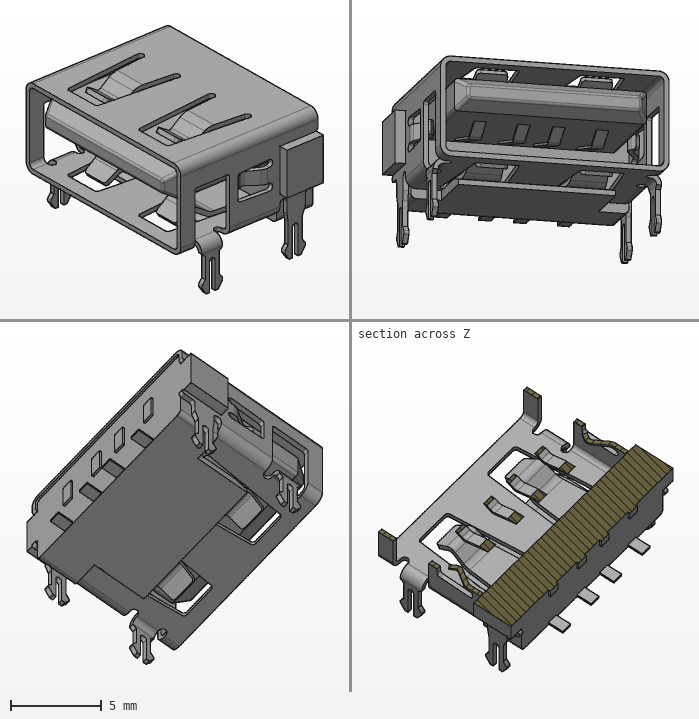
import cadquery as cq
import math


SHEET = 0.3
SHELL_WIDTH = 13.1
SHELL_HEIGHT = 5.72
SHELL_DEPTH = 10.01
INNER_BEND = SHEET
OUTER_BEND = INNER_BEND + SHEET
HALF_WIDTH = SHELL_WIDTH / 2
INNER_HALF_WIDTH = HALF_WIDTH - SHEET
INNER_TOP = SHELL_HEIGHT - SHEET

WINDOW_FRONT = 1.05
WINDOW_BACK = 3.56
WINDOW_TOP = 3.99
WINDOW_CORNER = 0.15

LEG_BOTTOM = -2.97
LEG_NECK_Z = -0.57
LEG_HALF_WIDTH = 0.51
BARB_TOP = -2.03
BARB_Z = -2.42
BARB_HALF_WIDTH = 0.8
BARB_CORNER = 0.2
TOE_HALF_WIDTH = 0.43
SPLIT_WIDTH = 0.4
SPLIT_TOP = -0.85
FRONT_LEG_Y = (WINDOW_FRONT + WINDOW_BACK) / 2
FRONT_LEG_ROOT_HALF = 0.76
FRONT_LEG_BEND = 0.36
LEG_BEND_X = HALF_WIDTH - FRONT_LEG_BEND - SHEET
RELIEF_WIDTH = (WINDOW_BACK - WINDOW_FRONT) / 2 - FRONT_LEG_ROOT_HALF
RELIEF_DEPTH = 0.3
REAR_LEG_Y = 8.34
REAR_LEG_ROOT_FRONT = 7.74
REAR_LEG_ROOT_BACK = 9.1

BLOCK_FRONT = 7.22
BLOCK_BACK = 9.88
BASE_BOTTOM = -0.56
WING_HALF_WIDTH = 7.15
WING_BOTTOM = 1.4
WING_TOP = 4.42
PLATE_HALF_WIDTH = 4.5
PLATE_FRONT = 3.7
PLATE_RAMP_BACK = 4.58
PLATE_TIP_TOP = -0.26
TONGUE_WIDTH = 11.01
TONGUE_FRONT = 0.01
TONGUE_BOTTOM = 2.86
TONGUE_TOP = 4.72
NOSE_INSET = 0.53
NOSE_LENGTH = 0.9
TONGUE_ROUND = 0.2

STRAP_BOTTOM = 1.0
STRAP_ROUND = (WING_BOTTOM - STRAP_BOTTOM) / 2
WALL_CORNER = 0.2

CONTACT_XS = (-3.5, -1.0, 1.0, 3.5)
CONTACT_WIDTH = 0.69
CONTACT_THICKNESS = 0.15
CONTACT_TAIL_Y = 10.9
CONTACT_TAIL_Z = -0.45
CONTACT_BACK_BOTTOM = 2.03
CONTACT_BACK_TOP = 3.76
CONTACT_ROOT = (BLOCK_FRONT, 2.89)
CONTACT_LOW = (3.9, 2.13)
CONTACT_TIP = (2.62, 2.93)
CONTACT_LOW_ROUND = 0.43

SPRING_X = 3.0
SIDE_SPRING_Z = 2.86
SPRING_DEPTH = 0.66
SPRING_ANGLE = 33.0
OPENING_CORNER = 0.2
SLOT_END_ROUND = 0.48
LID_OPENING = {"front": 1.0, "bend": 4.52, "end": 6.8, "front_half": 1.26, "end_half": 1.77, "slot": 0.47}
LID_LEAF = {"root_radius": 1.0, "crest_radius": 0.43, "tip_length": 1.0, "corner": 0.2}
SIDE_OPENING = {"front": 4.16, "bend": 6.32, "end": 6.69, "front_half": 0.9, "end_half": 1.02, "slot": 0.5}
SIDE_LEAF = {"root_radius": 0.53, "crest_radius": 0.37, "tip_length": 0.37, "corner": 0.15}


def mirror_pair(shape):
    """The shape and its mirror image on the other side of the YZ plane."""
    return shape.union(shape.mirror("YZ"))


def side_plate(outline):
    """A plate in the plane of the -X wall, from an outline drawn in Y and Z."""
    return outline.extrude(SHEET).translate((-HALF_WIDTH, 0, 0))




def tapered_outline(front, end, front_half, end_half):
    return cq.Workplane("XY").polyline(
        [(-front_half, front), (front_half, front), (end_half, end), (-end_half, end)]
    ).close()


def spring_opening(front, bend, end, front_half, end_half, slot):
    """Cutter that frees the spring: a tapered opening with two slots beside the flat root."""
    taper = (end_half - front_half) / (end - front)
    bend_half = front_half + taper * (bend - front)
    opening = tapered_outline(front, end, front_half, end_half).extrude(-SHEET)
    opening = opening.edges("|Z and <Y").fillet(OPENING_CORNER)
    root = tapered_outline(bend, end, bend_half - slot, end_half - slot).extrude(-SHEET)
    return opening.cut(root).edges("|Z and >Y").fillet(SLOT_END_ROUND * slot)


def spring_leaf(front, bend, end, front_half, end_half, slot, root_radius, crest_radius, tip_length, corner):
    """The bent part of the spring: down to a crest, then back up to a rounded tip."""
    angle = math.radians(SPRING_ANGLE)
    sine = math.sin(angle)
    drop_factor = 1 - math.cos(angle)
    ramp = (SPRING_DEPTH - (root_radius + crest_radius) * drop_factor) / sine
    half_sine = math.sin(angle / 2)
    half_drop = 1 - math.cos(angle / 2)

    start_z = -SHEET / 2
    ramp_y = bend - root_radius * sine
    ramp_z = start_z - root_radius * drop_factor
    crest_y = ramp_y - ramp * math.cos(angle) - crest_radius * sine
    crest_z = start_z - SPRING_DEPTH
    crest_end_z = crest_z + crest_radius * drop_factor
    crest_start = (crest_y + crest_radius * sine, crest_end_z)
    crest_end = (crest_y - crest_radius * sine, crest_end_z)
    tip = (crest_end[0] - tip_length * math.cos(angle), crest_end[1] + tip_length * sine)
    path = (
        cq.Workplane("YZ")
        .moveTo(bend, start_z)
        .threePointArc((bend - root_radius * half_sine, start_z - root_radius * half_drop), (ramp_y, ramp_z))
        .lineTo(*crest_start)
        .threePointArc((crest_y, crest_z), crest_end)
        .lineTo(*tip)
    )
    strip_width = 2 * end_half
    strip = cq.Workplane("XZ", origin=(0, bend, start_z)).rect(strip_width, SHEET).sweep(path)

    taper = (end_half - front_half) / (end - front)
    bend_half = front_half - slot + taper * (bend - front)
    plan = tapered_outline(front, bend, front_half - slot, bend_half)
    leaf = strip.intersect(plan.extrude(-(SPRING_DEPTH + SHEET)))
    return leaf.faces("<Y").edges("not |X").fillet(corner)


def placed_on_lid(shape, x):
    return shape.translate((x, 0, SHELL_HEIGHT))


def placed_on_floor(shape, x):
    return shape.rotate((0, 0, 0), (0, 1, 0), 180).translate((x, 0, 0))


def placed_on_side(shape):
    return shape.rotate((0, 0, 0), (0, 1, 0), -90).translate((-HALF_WIDTH, 0, SIDE_SPRING_Z))


def add_springs(body):
    opening = spring_opening(**LID_OPENING)
    leaf = spring_leaf(**LID_OPENING, **LID_LEAF)
    for place in (placed_on_lid, placed_on_floor):
        for x in (-SPRING_X, SPRING_X):
            body = body.cut(place(opening, x)).union(place(leaf, x))
    side_opening = placed_on_side(spring_opening(**SIDE_OPENING))
    side_leaf = placed_on_side(spring_leaf(**SIDE_OPENING, **SIDE_LEAF))
    return body.cut(mirror_pair(side_opening)).union(mirror_pair(side_leaf))




def prong(center_y):
    """The split, barbed lower end of a leg on the -X side."""
    back_half = [
        (LEG_HALF_WIDTH, LEG_NECK_Z),
        (LEG_HALF_WIDTH, BARB_TOP),
        (BARB_HALF_WIDTH, BARB_Z),
        (TOE_HALF_WIDTH, LEG_BOTTOM),
    ]
    front_half = [(-y, z) for y, z in reversed(back_half)]
    plate = side_plate(cq.Workplane("YZ").polyline(back_half + front_half).close())
    plate = plate.edges("|X and (>Y or <Y)").fillet(BARB_CORNER)
    round_z = SPLIT_TOP - SPLIT_WIDTH / 2
    split = (
        cq.Workplane("YZ")
        .moveTo(-SPLIT_WIDTH / 2, LEG_BOTTOM)
        .lineTo(-SPLIT_WIDTH / 2, round_z)
        .threePointArc((0, SPLIT_TOP), (SPLIT_WIDTH / 2, round_z))
        .lineTo(SPLIT_WIDTH / 2, LEG_BOTTOM)
        .close()
    )
    return plate.cut(side_plate(split)).translate((0, center_y, 0))


def front_leg():
    """A tab folded down from the edge of the floor, tapering to a prong."""
    bend_z = -FRONT_LEG_BEND
    outer = FRONT_LEG_BEND + SHEET
    diagonal = math.sqrt(0.5)
    fold = (
        cq.Workplane("XZ")
        .moveTo(-LEG_BEND_X, SHEET)
        .threePointArc((-LEG_BEND_X - outer * diagonal, bend_z + outer * diagonal), (-HALF_WIDTH, bend_z))
        .lineTo(-INNER_HALF_WIDTH, bend_z)
        .threePointArc(
            (-LEG_BEND_X - FRONT_LEG_BEND * diagonal, bend_z + FRONT_LEG_BEND * diagonal), (-LEG_BEND_X, 0)
        )
        .close()
        .extrude(FRONT_LEG_ROOT_HALF, both=True)
    )
    taper = [
        (-FRONT_LEG_ROOT_HALF, bend_z),
        (FRONT_LEG_ROOT_HALF, bend_z),
        (LEG_HALF_WIDTH, LEG_NECK_Z),
        (-LEG_HALF_WIDTH, LEG_NECK_Z),
    ]
    shoulder = side_plate(cq.Workplane("YZ").polyline(taper).close())
    return fold.union(shoulder).translate((0, FRONT_LEG_Y, 0)).union(prong(FRONT_LEG_Y))


def rear_leg():
    """The wall's strap under the wing, with a leg hanging from it."""
    slot_radius = (REAR_LEG_ROOT_FRONT - BLOCK_FRONT) / 2
    slot_round_z = STRAP_BOTTOM - slot_radius
    outline = (
        cq.Workplane("YZ")
        .moveTo(BLOCK_FRONT, WING_BOTTOM)
        .lineTo(SHELL_DEPTH - STRAP_ROUND, WING_BOTTOM)
        .threePointArc(
            (SHELL_DEPTH, STRAP_BOTTOM + STRAP_ROUND), (SHELL_DEPTH - STRAP_ROUND, STRAP_BOTTOM)
        )
        .lineTo(REAR_LEG_ROOT_BACK + WALL_CORNER, STRAP_BOTTOM)
        .radiusArc((REAR_LEG_ROOT_BACK, STRAP_BOTTOM - WALL_CORNER), -WALL_CORNER)
        .lineTo(REAR_LEG_ROOT_BACK, 0)
        .lineTo(REAR_LEG_Y + LEG_HALF_WIDTH, LEG_NECK_Z)
        .lineTo(REAR_LEG_Y - LEG_HALF_WIDTH, LEG_NECK_Z)
        .lineTo(REAR_LEG_ROOT_FRONT, 0)
        .lineTo(REAR_LEG_ROOT_FRONT, slot_round_z)
        .threePointArc((BLOCK_FRONT + slot_radius, STRAP_BOTTOM), (BLOCK_FRONT, slot_round_z))
        .close()
    )
    return side_plate(outline).union(prong(REAR_LEG_Y))




def block(x0, x1, y0, y1, z0, z1):
    return cq.Workplane("XY").box(x1 - x0, y1 - y0, z1 - z0, centered=False).translate((x0, y0, z0))


def rounded_tube():
    outer = block(-HALF_WIDTH, HALF_WIDTH, 0, SHELL_DEPTH, 0, SHELL_HEIGHT).edges("|Y").fillet(OUTER_BEND)
    inner = block(-INNER_HALF_WIDTH, INNER_HALF_WIDTH, 0, SHELL_DEPTH, SHEET, INNER_TOP)
    return outer.cut(inner.edges("|Y").fillet(INNER_BEND))


def cut_rear(body):
    """Room for the insulator: no floor behind the block front, and the walls end above the wings."""
    body = body.cut(block(-HALF_WIDTH, HALF_WIDTH, BLOCK_FRONT, SHELL_DEPTH, 0, WING_TOP))
    corner_edges = cq.selectors.BoxSelector(
        (-HALF_WIDTH, SHELL_DEPTH - SHEET, WING_TOP - SHEET),
        (HALF_WIDTH, SHELL_DEPTH + SHEET, WING_TOP + SHEET),
    )
    return body.edges("|X").edges(corner_edges).fillet(WALL_CORNER)


def cut_windows(body):
    """Side windows that run down through the floor bends, with reliefs beside the front legs."""
    window = block(-HALF_WIDTH, HALF_WIDTH, WINDOW_FRONT, WINDOW_BACK, SHEET, WINDOW_TOP)
    body = body.cut(window.edges("|X and >Z").fillet(WINDOW_CORNER))
    bend_gap = block(-HALF_WIDTH, -LEG_BEND_X, WINDOW_FRONT, WINDOW_BACK, 0, OUTER_BEND)
    body = body.cut(mirror_pair(bend_gap))
    for direction in (-1, 1):
        relief_y = FRONT_LEG_Y + direction * (FRONT_LEG_ROOT_HALF + RELIEF_WIDTH / 2)
        relief = (
            cq.Workplane("XY", origin=(-LEG_BEND_X, relief_y, 0))
            .slot2D(2 * RELIEF_DEPTH, RELIEF_WIDTH)
            .extrude(SHEET)
        )
        body = body.cut(mirror_pair(relief))
    return body


def make_shell():
    body = cut_windows(cut_rear(rounded_tube()))
    body = body.union(mirror_pair(front_leg())).union(mirror_pair(rear_leg()))
    return add_springs(body)




def rear_block():
    core = block(-INNER_HALF_WIDTH, INNER_HALF_WIDTH, BLOCK_FRONT, BLOCK_BACK, BASE_BOTTOM, INNER_TOP)
    core = core.edges("|Y").fillet(INNER_BEND)
    wings = block(-WING_HALF_WIDTH, WING_HALF_WIDTH, BLOCK_FRONT, BLOCK_BACK, WING_BOTTOM, WING_TOP)
    return core.union(wings)


def base_plate():
    """Plate under the shell floor with a ramped front tip."""
    side = [
        (BLOCK_FRONT, BASE_BOTTOM),
        (BLOCK_FRONT, 0),
        (PLATE_RAMP_BACK, 0),
        (PLATE_FRONT, PLATE_TIP_TOP),
        (PLATE_FRONT, BASE_BOTTOM),
    ]
    return cq.Workplane("YZ").polyline(side).close().extrude(PLATE_HALF_WIDTH, both=True)


def tongue_section(inset):
    """Rounded rectangle across the tongue, shrunk by the inset on every side."""
    width = TONGUE_WIDTH - 2 * inset
    height = TONGUE_TOP - TONGUE_BOTTOM - 2 * inset
    return cq.Sketch().rect(width, height).vertices().fillet(TONGUE_ROUND)


def tongue():
    """Straight bar with a tapered nose."""
    middle_z = (TONGUE_TOP + TONGUE_BOTTOM) / 2
    nose_back = TONGUE_FRONT + NOSE_LENGTH
    full_section = tongue_section(0)
    bar = cq.Workplane("XZ", origin=(0, nose_back, middle_z)).placeSketch(full_section)
    bar = bar.extrude(nose_back - BLOCK_FRONT)
    nose_base = full_section.moved(cq.Location(cq.Vector(0, 0, -NOSE_LENGTH)))
    nose = cq.Workplane("XZ", origin=(0, TONGUE_FRONT, middle_z))
    nose = nose.placeSketch(tongue_section(NOSE_INSET), nose_base).loft(ruled=True)
    return bar.union(nose.faces("<Y").edges().fillet(TONGUE_ROUND))


def contact(x):
    """The exposed pieces of a contact: arm under the tongue, back behind the block and solder tail."""
    half = CONTACT_WIDTH / 2
    low_y, low_z = CONTACT_LOW
    lower = [CONTACT_ROOT, CONTACT_LOW, CONTACT_TIP]
    upper = [(y, z + CONTACT_THICKNESS) for y, z in reversed(lower)]
    arm = cq.Workplane("YZ").polyline(lower + upper).close().extrude(half, both=True)
    low_edges = cq.selectors.BoxSelector(
        (-half, low_y - CONTACT_THICKNESS, low_z - CONTACT_THICKNESS),
        (half, low_y + CONTACT_THICKNESS, low_z + 2 * CONTACT_THICKNESS),
    )
    arm = arm.edges("|X").edges(low_edges).fillet(CONTACT_LOW_ROUND)
    back = block(-half, half, BLOCK_BACK, SHELL_DEPTH, CONTACT_BACK_BOTTOM, CONTACT_BACK_TOP)
    tail_bottom = CONTACT_TAIL_Z - CONTACT_THICKNESS / 2
    tail = block(-half, half, BLOCK_BACK, CONTACT_TAIL_Y, tail_bottom, tail_bottom + CONTACT_THICKNESS)
    return [piece.translate((x, 0, 0)) for piece in (arm, back, tail)]


def make_insulator():
    body = rear_block().union(base_plate()).union(tongue())
    for x in CONTACT_XS:
        for piece in contact(x):
            body = body.union(piece)
    return body


shell = make_shell()
insulator = make_insulator()
result = cq.Compound.makeCompound([shell.solids().val(), insulator.solids().val()])